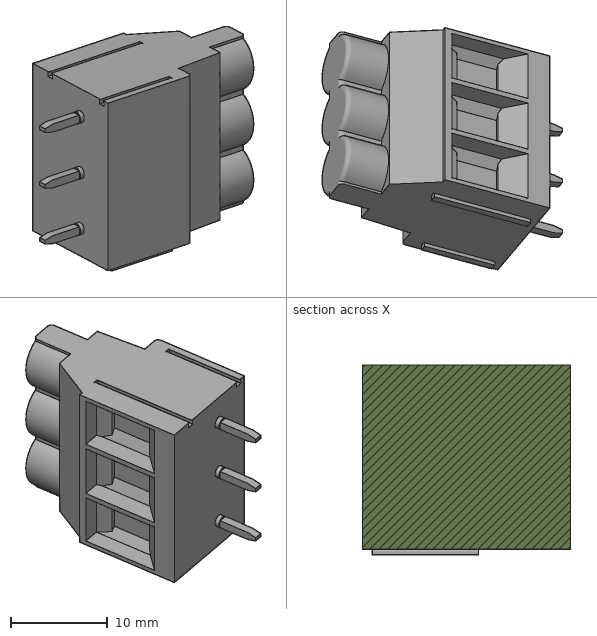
import cadquery as cq
import math


POLES = 3
PITCH = 6.35
HEIGHT = POLES * PITCH
WIDTH = 12.5
ENTRY_SHOULDER_Y = 12.0
ENTRY_SHOULDER_WIDTH = 0.45
REAR_STEP_X = 10.3
REAR_STEP_Y = 11.05
REAR_STEP_FILLET = 0.5
NECK_LEFT_X = 3.2
NECK_RIGHT_X = 9.95
NECK_TOP_Y = 16.8

TOWER_X = 6.7
TOWER_RADIUS = 3.25
TOWER_TOP_Y = 21.5
SPINE_WIDTH = 3.0
TOWER_FILLET = 0.5

FUNNEL_Y_MIN = 2.5
FUNNEL_Y_MAX = 11.21
FUNNEL_OUTER_WALL = 0.5
FUNNEL_PARTITION = 0.58
FUNNEL_DEPTH = 2.72
SHELF_START_DEPTH = 1.88
SHELF_END_DEPTH = 2.32
FLOOR_Y_MIN = 4.81
FLOOR_Y_MAX = 9.53
FLOOR_HEIGHT = 3.4
OUTER_SLOPE_DEPTH = SHELF_START_DEPTH
INNER_SLOPE_DEPTH = 2.04

PIN_X = 7.92
PIN_SIZE = 0.91
PIN_LENGTH = 5.0
PIN_TIP_LENGTH = 1.0
PIN_TIP_THICKNESS = 0.42
COLLAR_DIAMETER = 1.3
COLLAR_LENGTH = 0.5

DOVETAIL_HEIGHT = 0.57
DOVETAIL_WIDTH = 0.75
DOVETAIL_ROOT_WIDTH = 0.42
DOVETAILS = [(2.9, ENTRY_SHOULDER_Y), (11.48, 9.05)]
RIB_START_Y = 1.0


def pole_z(pole):
    """Height of a pole's axis."""
    return (pole + 0.5) * PITCH


def make_housing():
    outline = [
        (0, 0),
        (WIDTH, 0),
        (WIDTH, REAR_STEP_Y),
        (REAR_STEP_X, REAR_STEP_Y),
        (NECK_RIGHT_X, NECK_TOP_Y),
        (NECK_LEFT_X, NECK_TOP_Y),
        (ENTRY_SHOULDER_WIDTH, ENTRY_SHOULDER_Y),
        (0, ENTRY_SHOULDER_Y),
    ]
    housing = cq.Workplane("XY").polyline(outline).close().extrude(HEIGHT)
    rear_corner = cq.selectors.NearestToPointSelector((WIDTH, REAR_STEP_Y, HEIGHT / 2))
    return housing.edges(rear_corner).fillet(REAR_STEP_FILLET)


def make_towers():
    """Round-edged screw towers on a common spine, trimmed flush with the housing sides."""
    length = TOWER_TOP_Y - NECK_TOP_Y
    towers = (
        cq.Workplane("XY")
        .box(SPINE_WIDTH, length, HEIGHT, centered=(True, False, False))
        .translate((TOWER_X, NECK_TOP_Y, 0))
        .edges(">Y and |Z")
        .fillet(TOWER_FILLET)
    )
    for pole in range(POLES):
        tower = (
            cq.Workplane("XZ")
            .circle(TOWER_RADIUS)
            .extrude(-length)
            .faces(">Y")
            .edges()
            .fillet(TOWER_FILLET)
            .translate((TOWER_X, NECK_TOP_Y, pole_z(pole)))
        )
        towers = towers.union(tower)
    trim = (
        cq.Workplane("XY")
        .box(2 * TOWER_RADIUS, length, HEIGHT, centered=(True, False, False))
        .translate((TOWER_X, NECK_TOP_Y, 0))
    )
    return towers.intersect(trim)


def make_funnel(pole):
    """Cavity of one wire entry: a profile along Y crossed with a profile along Z."""
    if pole == 0:
        z_min = FUNNEL_OUTER_WALL
        lower_slope_depth = OUTER_SLOPE_DEPTH
    else:
        z_min = pole * PITCH + FUNNEL_PARTITION / 2
        lower_slope_depth = INNER_SLOPE_DEPTH
    if pole == POLES - 1:
        z_max = HEIGHT - FUNNEL_OUTER_WALL
        upper_slope_depth = OUTER_SLOPE_DEPTH
    else:
        z_max = (pole + 1) * PITCH - FUNNEL_PARTITION / 2
        upper_slope_depth = INNER_SLOPE_DEPTH

    plan = [
        (0, FUNNEL_Y_MIN),
        (SHELF_END_DEPTH, FLOOR_Y_MIN),
        (FUNNEL_DEPTH, FLOOR_Y_MIN),
        (FUNNEL_DEPTH, FLOOR_Y_MAX),
        (SHELF_END_DEPTH, FLOOR_Y_MAX),
        (SHELF_START_DEPTH, FUNNEL_Y_MAX),
        (0, FUNNEL_Y_MAX),
    ]
    section = [
        (0, z_min),
        (lower_slope_depth, z_min),
        (FUNNEL_DEPTH, pole_z(pole) - FLOOR_HEIGHT / 2),
        (FUNNEL_DEPTH, pole_z(pole) + FLOOR_HEIGHT / 2),
        (upper_slope_depth, z_max),
        (0, z_max),
    ]
    plan_prism = cq.Workplane("XY").polyline(plan).close().extrude(HEIGHT)
    section_prism = cq.Workplane("XZ").polyline(section).close().extrude(-ENTRY_SHOULDER_Y)
    return plan_prism.intersect(section_prism)


def make_pin(pole):
    """Square solder pin with a round collar and a tip tapered in Z."""
    half = PIN_SIZE / 2
    half_tip = PIN_TIP_THICKNESS / 2
    taper_y = PIN_TIP_LENGTH - PIN_LENGTH
    side = [
        (0, -half),
        (taper_y, -half),
        (-PIN_LENGTH, -half_tip),
        (-PIN_LENGTH, half_tip),
        (taper_y, half),
        (0, half),
    ]
    blade = cq.Workplane("YZ").polyline(side).close().extrude(half, both=True)
    collar = cq.Workplane("XZ").circle(COLLAR_DIAMETER / 2).extrude(COLLAR_LENGTH)
    return blade.union(collar).translate((PIN_X, 0, pole_z(pole)))


def make_dovetail(x, y_start, y_end, z):
    """Bar hanging below height z: square foot, rounded shoulders that narrow towards the root."""
    half_root = DOVETAIL_ROOT_WIDTH / 2
    radius = DOVETAIL_WIDTH / 2
    arc_centre_z = -math.sqrt(radius**2 - half_root**2)
    mid_angle = math.asin(-arc_centre_z / radius) / 2
    mid_x = radius * math.cos(mid_angle)
    mid_z = arc_centre_z + radius * math.sin(mid_angle)
    bar = (
        cq.Workplane("XZ")
        .moveTo(-half_root, 0)
        .lineTo(half_root, 0)
        .threePointArc((mid_x, mid_z), (radius, arc_centre_z))
        .lineTo(radius, -DOVETAIL_HEIGHT)
        .lineTo(-radius, -DOVETAIL_HEIGHT)
        .lineTo(-radius, arc_centre_z)
        .threePointArc((-mid_x, mid_z), (-half_root, 0))
        .close()
        .extrude(y_start - y_end)
    )
    return bar.translate((x, y_start, z))


block = make_housing().union(make_towers())
for pole_index in range(POLES):
    block = block.cut(make_funnel(pole_index))
    block = block.union(make_pin(pole_index))
for dovetail_x, dovetail_end in DOVETAILS:
    block = block.union(make_dovetail(dovetail_x, RIB_START_Y, dovetail_end, 0))
    block = block.cut(make_dovetail(dovetail_x, 0, dovetail_end, HEIGHT))

result = block